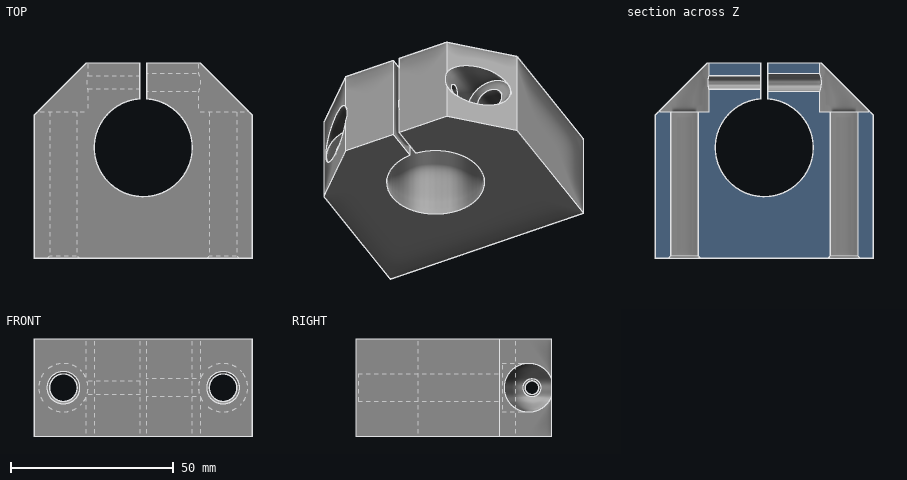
import cadquery as cq

block_width = 67.0
block_length = 60.0
block_height = 30.0
corner_chamfer = 16.0

bore_diameter = 30.0
bore_center_y = 34.0
slit_width = 2.0

mount_spacing = 49.0
mount_hole_diameter = 8.38
mount_mouth_diameter = 10.0
mount_mouth_depth = (mount_mouth_diameter - mount_hole_diameter) / 2
head_pocket_diameter = 15.0
head_pocket_floor_y = 45.0

clamp_screw_y = 54.0
clamp_tap_diameter = 4.13
clamp_clearance_diameter = 5.5

half_width = block_width / 2


def make_block():
    """Centred block with both corners cut at 45 degrees at the split end."""
    return (
        cq.Workplane("XY")
        .box(block_width, block_length, block_height, centered=(True, False, True))
        .edges("|Z and >Y")
        .chamfer(corner_chamfer)
    )


def make_bore_and_slit():
    """Through bore joined to the slit that runs out of the split end."""
    bore = (
        cq.Workplane("XY")
        .center(0, bore_center_y)
        .circle(bore_diameter / 2)
        .extrude(block_height / 2, both=True)
    )
    slit = (
        cq.Workplane("XY")
        .box(slit_width, block_length - bore_center_y, block_height, centered=(True, False, True))
        .translate((0, bore_center_y, 0))
    )
    return bore.union(slit)


def make_mounting_hole(x):
    """Hole along Y with a countersunk mouth at the base and a screw-head pocket at the far end."""
    profile = [
        (0, 0),
        (mount_mouth_diameter / 2, 0),
        (mount_hole_diameter / 2, mount_mouth_depth),
        (mount_hole_diameter / 2, head_pocket_floor_y),
        (head_pocket_diameter / 2, head_pocket_floor_y),
        (head_pocket_diameter / 2, block_length),
        (0, block_length),
    ]
    return (
        cq.Workplane("XY")
        .polyline(profile)
        .close()
        .revolve(360, (0, 0, 0), (0, 1, 0))
        .translate((x, 0, 0))
    )


def make_clamp_screw_hole():
    """Hole across the slit: tap size towards -X, clearance size towards +X."""
    mid_plane = cq.Workplane("YZ").center(clamp_screw_y, 0)
    tapped_side = mid_plane.circle(clamp_tap_diameter / 2).extrude(-half_width)
    clearance_side = mid_plane.circle(clamp_clearance_diameter / 2).extrude(half_width)
    return tapped_side.union(clearance_side)


result = make_block().cut(make_bore_and_slit())
for side in (-1, 1):
    result = result.cut(make_mounting_hole(side * mount_spacing / 2))
result = result.cut(make_clamp_screw_hole())